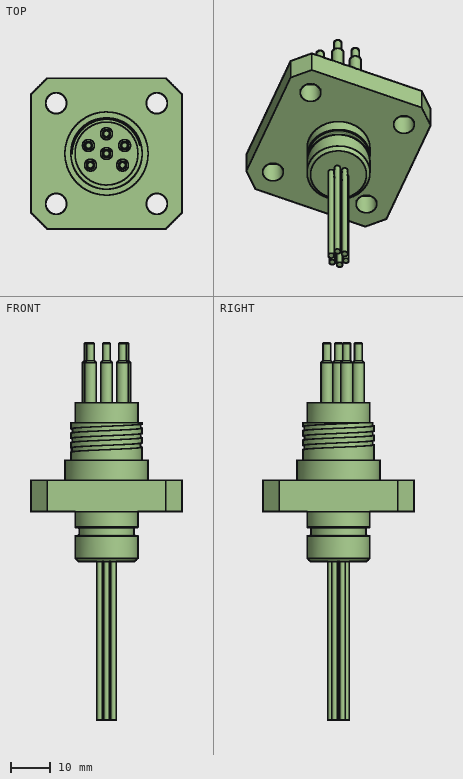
import cadquery as cq
import math

FLANGE_SIDE = 38.1
FLANGE_HEIGHT = 8.0
FLANGE_CORNER = 4.1
MOUNT_HOLE_DIAMETER = 5.2
MOUNT_HOLE_SPACING = 25.4

BODY_RADIUS = 15.9 / 2
COLLAR_RADIUS = 21.0 / 2
THREAD_RADIUS = 18.0 / 2
COLLAR_TOP = 13.0
THREAD_TOP = 22.5
BODY_TOP = 27.5
BODY_BOTTOM = -12.6
BODY_BOTTOM_CHAMFER = 0.9

SEAL_GROOVE_RADIUS = 13.9 / 2
SEAL_GROOVE_TOP = -4.0
SEAL_GROOVE_WIDTH = 2.0
SEAL_GROOVE_EDGE_BREAK = 0.2
SEAL_GROOVE_ROOT_FILLET = 0.2

THREAD_PITCH = 2.4
THREAD_GROOVE_WIDTH = 1.1
THREAD_GROOVE_DEPTH = 0.35
THREAD_GROOVE_OVERCUT = 0.3
THREAD_START_HEIGHT = 15.55
THREAD_START_ANGLE = 172.0
THREAD_END_ANGLE = 180.0
THREAD_FULL_TURNS = 3
THREAD_TURNS = THREAD_FULL_TURNS + (THREAD_END_ANGLE - THREAD_START_ANGLE) / 360.0

PIN_CIRCLE_RADIUS = 5.0
PIN_ANGLES = (-36.0, 24.0, 90.0, 156.0, 216.0)
PIN_RADIUS = 3.0 / 2
PIN_BOTTOM = COLLAR_TOP
PIN_SHOULDER_TOP = 37.6
PIN_TIP_RADIUS = 2.0 / 2
PIN_TOP = 42.6
PIN_TIP_CHAMFER = 0.25

WIRE_COUNT = 6
WIRE_CIRCLE_RADIUS = 2.0
WIRE_RADIUS = 1.5 / 2
OVERALL_LENGTH = 95.2
WIRE_BOTTOM = PIN_TOP - OVERALL_LENGTH
WIRE_TOP = BODY_BOTTOM / 2


def cylinder(radius, bottom, top, center=(0.0, 0.0)):
    return cq.Workplane("XY", origin=(center[0], center[1], bottom)).circle(radius).extrude(top - bottom)


def polar_point(radius, angle):
    return (radius * math.cos(math.radians(angle)), radius * math.sin(math.radians(angle)))


def make_flange():
    """Square plate with bevelled corners and four through holes."""
    flange = cq.Workplane("XY").rect(FLANGE_SIDE, FLANGE_SIDE).extrude(FLANGE_HEIGHT)
    flange = flange.edges("|Z").chamfer(FLANGE_CORNER)
    return (
        flange.faces(">Z")
        .workplane()
        .rect(MOUNT_HOLE_SPACING, MOUNT_HOLE_SPACING, forConstruction=True)
        .vertices()
        .hole(MOUNT_HOLE_DIAMETER)
    )


def make_body():
    body = cylinder(BODY_RADIUS, BODY_BOTTOM, BODY_TOP).faces("<Z").chamfer(BODY_BOTTOM_CHAMFER)
    return body.union(cylinder(COLLAR_RADIUS, 0.0, COLLAR_TOP))


def cut_seal_groove(body):
    """Ring groove with rounded root corners and bevelled outer edges."""
    bottom = SEAL_GROOVE_TOP - SEAL_GROOVE_WIDTH
    bevel = SEAL_GROOVE_EDGE_BREAK
    fillet = SEAL_GROOVE_ROOT_FILLET
    bend = fillet * (1.0 - math.sqrt(0.5))
    root = SEAL_GROOVE_RADIUS
    section = (
        cq.Workplane("XZ")
        .moveTo(BODY_RADIUS, SEAL_GROOVE_TOP + bevel)
        .lineTo(BODY_RADIUS - bevel, SEAL_GROOVE_TOP)
        .lineTo(root + fillet, SEAL_GROOVE_TOP)
        .threePointArc((root + bend, SEAL_GROOVE_TOP - bend), (root, SEAL_GROOVE_TOP - fillet))
        .lineTo(root, bottom + fillet)
        .threePointArc((root + bend, bottom + bend), (root + fillet, bottom))
        .lineTo(BODY_RADIUS - bevel, bottom)
        .lineTo(BODY_RADIUS, bottom - bevel)
        .close()
    )
    return body.cut(section.revolve(360.0, (0.0, 0.0), (0.0, 1.0)))


def make_thread_groove():
    """Rectangular section swept along a helix; it reaches past the thread surface."""
    root_radius = THREAD_RADIUS - THREAD_GROOVE_DEPTH
    outer_radius = THREAD_RADIUS + THREAD_GROOVE_OVERCUT
    helix = cq.Wire.makeHelix(THREAD_PITCH, THREAD_PITCH * THREAD_TURNS, THREAD_RADIUS)
    section = (
        cq.Workplane("XZ")
        .center((root_radius + outer_radius) / 2, 0.0)
        .rect(outer_radius - root_radius, THREAD_GROOVE_WIDTH)
    )
    groove = section.sweep(cq.Workplane(obj=helix), isFrenet=True)
    groove = groove.rotate((0, 0, 0), (0, 0, 1), THREAD_START_ANGLE)
    return groove.translate((0, 0, THREAD_START_HEIGHT))


def make_thread():
    blank = cylinder(THREAD_RADIUS, 0.0, THREAD_TOP).rotate((0, 0, 0), (0, 0, 1), THREAD_END_ANGLE)
    return blank.cut(make_thread_groove())


def make_pin(center):
    """Thick shoulder that tapers at 45 degrees into a thinner tip with a bevelled end."""
    shoulder_height = PIN_SHOULDER_TOP - PIN_BOTTOM
    taper = PIN_RADIUS - PIN_TIP_RADIUS
    height = PIN_TOP - PIN_BOTTOM
    section = (
        cq.Workplane("XZ", origin=(center[0], center[1], PIN_BOTTOM))
        .lineTo(PIN_RADIUS, 0.0)
        .lineTo(PIN_RADIUS, shoulder_height)
        .lineTo(PIN_TIP_RADIUS, shoulder_height + taper)
        .lineTo(PIN_TIP_RADIUS, height - PIN_TIP_CHAMFER)
        .lineTo(PIN_TIP_RADIUS - PIN_TIP_CHAMFER, height)
        .lineTo(0.0, height)
        .close()
    )
    return section.revolve(360.0, (0.0, 0.0), (0.0, 1.0))


def make_wire(center):
    return cylinder(WIRE_RADIUS, WIRE_BOTTOM, WIRE_TOP, center)


result = cut_seal_groove(make_body()).union(make_thread()).union(make_flange())

pin_centers = [(0.0, 0.0)] + [polar_point(PIN_CIRCLE_RADIUS, angle) for angle in PIN_ANGLES]
for pin_center in pin_centers:
    result = result.union(make_pin(pin_center))

for wire_index in range(WIRE_COUNT):
    wire_angle = 90.0 + wire_index * 360.0 / WIRE_COUNT
    result = result.union(make_wire(polar_point(WIRE_CIRCLE_RADIUS, wire_angle)))